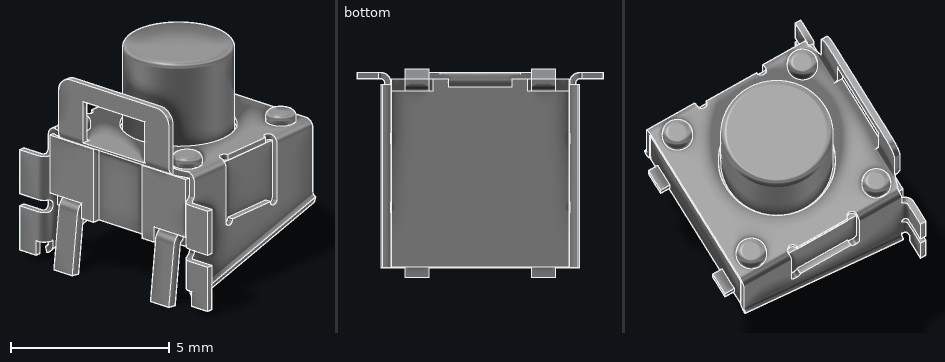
import cadquery as cq
import math


BASE_HALF_X = 2.805
BASE_HALF_Y = 2.97
BASE_HEIGHT = 2.5
RECESS_HALF_WIDTH = 1.0
RECESS_DEPTH = 0.265

SHEET = 0.2
COVER_TOP = BASE_HEIGHT + SHEET
WALL_OUTER = 3.02
WALL_INNER = WALL_OUTER - SHEET
COVER_REAR = 3.0
COVER_FRONT = -2.8
COVER_CORNER_RADIUS = 0.295
COVER_HOLE_DIAMETER = 3.7

EDGE_FRONT_Z = -1.305
EDGE_REAR_Z = 0.23
FLARE_RADIUS = 0.155
FLARE_ANGLE = math.radians(75)

WINDOW_HALF_WIDTH = 1.25
WINDOW_BOTTOM = 0.56
WINDOW_RELIEF_RADIUS = 0.16

BEND_INNER = 0.12
BEND_OUTER = BEND_INNER + SHEET
BEND_CENTER_Y = BEND_INNER - BASE_HALF_Y
SHEET_FRONT = BEND_CENTER_Y - BEND_OUTER

TAB_HALF_WIDTH = 2.285
TAB_TOP = 4.73
TAB_CORNER_RADIUS = 0.505
TAB_WINDOW_HALF_WIDTH = 1.275
TAB_WINDOW_TOP = 4.125
TAB_ROOT_HALF_WIDTH = WALL_INNER

LEG_TIP_X = 3.885
LEG_TOP = 1.77
LEG_BOTTOM = -1.66
LEG_GAP_TOP = 0.265
LEG_GAP_BOTTOM = -0.15
LEG_FOOT_X = 3.21
LEG_FOOT_TOP = -1.165
LEG_RELIEF_RADIUS = (LEG_GAP_TOP - LEG_GAP_BOTTOM) / 2

BUTTON_DIAMETER = 3.55
BUTTON_TOP = 5.51
BUTTON_FILLET = 0.2
RIVET_OFFSET = 2.29
RIVET_RADIUS = 0.48
SMALL_RIVET_RADIUS = 0.46
RIVET_HEIGHT = 0.35
RIVET_FILLET = 0.2

PIN_OFFSET = 2.0
PIN_WIDTH = 0.76
PIN_THICKNESS = 0.32
PIN_TOP = 0.52
PIN_REAR = 3.31
PIN_BOTTOM = -1.935
PIN_TIP_Y = -3.29
PIN_BEND_OUTER = 0.45
PIN_BEND_INNER = PIN_BEND_OUTER - PIN_THICKNESS
PIN_TILT = math.radians(7)
PIN_NOTCH_INNER = 1.49

SIDES = (-1, 1)


def box(x0, x1, y0, y1, z0, z1):
    """Axis-aligned block between opposite corners."""
    corner = cq.Vector(x0, y0, z0)
    return cq.Workplane(cq.Solid.makeBox(x1 - x0, y1 - y0, z1 - z0, corner))


def both_sides(shape):
    """The shape on the +X side together with its mirror image."""
    return shape.union(shape.mirror("YZ"))


def polar(center, radius, angle):
    """Point on a circle, the angle measured from the first axis."""
    return (center[0] + radius * math.cos(angle), center[1] + radius * math.sin(angle))


PIN_STRAIGHT_TOP = PIN_TOP - PIN_BEND_OUTER + PIN_BEND_OUTER * math.sin(PIN_TILT)
PIN_OUTER_TIP_Z = PIN_BOTTOM + PIN_THICKNESS * math.sin(PIN_TILT)
PIN_DRIFT = (PIN_STRAIGHT_TOP - PIN_OUTER_TIP_Z) * math.tan(PIN_TILT)
PIN_BEND_CENTER = (
    PIN_TIP_Y + PIN_DRIFT + PIN_BEND_OUTER * math.cos(PIN_TILT),
    PIN_TOP - PIN_BEND_OUTER,
)


def make_base():
    base = box(-BASE_HALF_X, BASE_HALF_X, -BASE_HALF_Y, BASE_HALF_Y, 0, BASE_HEIGHT)
    recess = box(
        -RECESS_HALF_WIDTH, RECESS_HALF_WIDTH, -BASE_HALF_Y, RECESS_DEPTH - BASE_HALF_Y, 0, BASE_HEIGHT
    )
    pin_notch = box(PIN_NOTCH_INNER, BASE_HALF_X, -BASE_HALF_Y, PIN_BEND_CENTER[0], 0, PIN_TOP)
    return base.cut(recess).cut(both_sides(pin_notch))


def make_pin():
    """Flat bar through the base, bent down at the front and tilted forward."""
    down = math.pi - PIN_TILT
    middle = (math.pi / 2 + down) / 2
    center_y, center_z = PIN_BEND_CENTER
    inner_tip_y = PIN_TIP_Y + PIN_THICKNESS * math.cos(PIN_TILT)
    profile = (
        cq.Workplane("YZ", origin=(PIN_OFFSET - PIN_WIDTH / 2, 0, 0))
        .moveTo(PIN_REAR, PIN_TOP)
        .lineTo(center_y, PIN_TOP)
        .threePointArc(
            polar(PIN_BEND_CENTER, PIN_BEND_OUTER, middle), polar(PIN_BEND_CENTER, PIN_BEND_OUTER, down)
        )
        .lineTo(PIN_TIP_Y, PIN_OUTER_TIP_Z)
        .lineTo(inner_tip_y, PIN_BOTTOM)
        .lineTo(*polar(PIN_BEND_CENTER, PIN_BEND_INNER, down))
        .threePointArc(
            polar(PIN_BEND_CENTER, PIN_BEND_INNER, middle), (center_y, center_z + PIN_BEND_INNER)
        )
        .lineTo(PIN_REAR, PIN_TOP - PIN_THICKNESS)
        .close()
    )
    return profile.extrude(PIN_WIDTH)


def make_plate():
    """Top of the cover, rounded down into the tops of both side walls."""
    skirt_bottom = COVER_TOP - COVER_CORNER_RADIUS - SHEET
    outside = box(-WALL_OUTER, WALL_OUTER, COVER_FRONT, COVER_REAR, skirt_bottom, COVER_TOP)
    outside = outside.edges("|Y and >Z").fillet(COVER_CORNER_RADIUS)
    inside = box(-WALL_INNER, WALL_INNER, COVER_FRONT, COVER_REAR, skirt_bottom, BASE_HEIGHT)
    inside = inside.edges("|Y and >Z").fillet(COVER_CORNER_RADIUS - SHEET)
    hole = cq.Workplane().circle(COVER_HOLE_DIAMETER / 2).extrude(COVER_TOP)
    flat_half = WINDOW_HALF_WIDTH - WINDOW_RELIEF_RADIUS
    flat = box(-WALL_INNER, WALL_INNER, -flat_half, flat_half, BASE_HEIGHT, COVER_TOP)
    return outside.cut(inside).union(flat).cut(hole)


def make_wall():
    """Side wall with a sloping lower edge that curls outward."""
    bend_z = COVER_TOP - COVER_CORNER_RADIUS
    wall = (
        cq.Workplane("YZ", origin=(WALL_INNER, 0, 0))
        .polyline(
            [
                (COVER_FRONT, EDGE_FRONT_Z),
                (COVER_REAR, EDGE_REAR_Z),
                (COVER_REAR, bend_z),
                (COVER_FRONT, bend_z),
            ]
        )
        .close()
        .extrude(SHEET)
    )
    center = (WALL_OUTER + FLARE_RADIUS, EDGE_FRONT_Z)
    outer_radius = FLARE_RADIUS + SHEET
    middle = math.pi + FLARE_ANGLE / 2
    end = math.pi + FLARE_ANGLE
    flare_section = (
        cq.Workplane("XZ", origin=(0, COVER_FRONT, 0))
        .moveTo(WALL_INNER, EDGE_FRONT_Z)
        .threePointArc(polar(center, outer_radius, middle), polar(center, outer_radius, end))
        .lineTo(*polar(center, FLARE_RADIUS, end))
        .threePointArc(polar(center, FLARE_RADIUS, middle), (WALL_OUTER, EDGE_FRONT_Z))
        .close()
    )
    edge_run = cq.Vector(0, COVER_REAR - COVER_FRONT, EDGE_REAR_Z - EDGE_FRONT_Z)
    flare = cq.Solid.extrudeLinear(flare_section.val(), [], edge_run)
    return wall.union(cq.Workplane(flare))


def make_window_cut():
    """Opening through a side wall and its top bend, with round relief at the four corners."""
    through_wall = box(
        BASE_HALF_X, WALL_OUTER, -WINDOW_HALF_WIDTH, WINDOW_HALF_WIDTH, WINDOW_BOTTOM, BASE_HEIGHT
    )
    through_bend = box(
        WALL_INNER, WALL_OUTER, -WINDOW_HALF_WIDTH, WINDOW_HALF_WIDTH, BASE_HEIGHT, COVER_TOP
    )
    relief_y = WINDOW_HALF_WIDTH - WINDOW_RELIEF_RADIUS
    relief_points = [(relief_y, WINDOW_BOTTOM), (-relief_y, WINDOW_BOTTOM)]
    lower_relief = (
        cq.Workplane("YZ", origin=(WALL_INNER, 0, 0))
        .pushPoints(relief_points)
        .circle(WINDOW_RELIEF_RADIUS)
        .extrude(SHEET)
    )
    upper_relief = (
        cq.Workplane(origin=(0, 0, BASE_HEIGHT))
        .pushPoints([(WALL_INNER, relief_y), (WALL_INNER, -relief_y)])
        .circle(WINDOW_RELIEF_RADIUS)
        .extrude(SHEET)
    )
    return through_wall.union(through_bend).union(lower_relief).union(upper_relief)


def make_legs():
    """Two legs bent outward from the front edge of a side wall."""
    center = (WALL_OUTER + BEND_INNER, BEND_CENTER_Y)
    middle = 1.25 * math.pi
    strip_top = LEG_TOP + LEG_RELIEF_RADIUS
    legs = (
        cq.Workplane(origin=(0, 0, LEG_BOTTOM))
        .moveTo(WALL_INNER, COVER_FRONT)
        .lineTo(WALL_INNER, BEND_CENTER_Y)
        .threePointArc(polar(center, BEND_OUTER, middle), (center[0], SHEET_FRONT))
        .lineTo(LEG_TIP_X, SHEET_FRONT)
        .lineTo(LEG_TIP_X, -BASE_HALF_Y)
        .lineTo(center[0], -BASE_HALF_Y)
        .threePointArc(polar(center, BEND_INNER, middle), (WALL_OUTER, BEND_CENTER_Y))
        .lineTo(WALL_OUTER, COVER_FRONT)
        .close()
        .extrude(strip_top - LEG_BOTTOM)
    )
    relief_y = COVER_FRONT - LEG_RELIEF_RADIUS
    gap_middle = (LEG_GAP_TOP + LEG_GAP_BOTTOM) / 2
    relief = (
        cq.Workplane("YZ")
        .pushPoints([(relief_y, strip_top), (relief_y, gap_middle)])
        .circle(LEG_RELIEF_RADIUS)
        .extrude(LEG_TIP_X)
    )
    above = box(0, LEG_TIP_X, SHEET_FRONT, relief_y, LEG_TOP, strip_top)
    gap = box(0, LEG_TIP_X, SHEET_FRONT, relief_y, LEG_GAP_BOTTOM, LEG_GAP_TOP)
    foot_notch = box(0, LEG_FOOT_X, SHEET_FRONT, COVER_FRONT, LEG_BOTTOM, LEG_FOOT_TOP)
    return legs.cut(relief).cut(above).cut(gap).cut(foot_notch)


def make_tab():
    """Windowed tab bent upward from the front edge of the plate."""
    center = (BEND_CENTER_Y, COVER_TOP + BEND_INNER)
    middle = 1.25 * math.pi
    tab = (
        cq.Workplane("YZ")
        .moveTo(COVER_FRONT, BASE_HEIGHT)
        .lineTo(BEND_CENTER_Y, BASE_HEIGHT)
        .threePointArc(polar(center, BEND_OUTER, middle), (SHEET_FRONT, center[1]))
        .lineTo(SHEET_FRONT, TAB_TOP)
        .lineTo(-BASE_HALF_Y, TAB_TOP)
        .lineTo(-BASE_HALF_Y, center[1])
        .threePointArc(polar(center, BEND_INNER, middle), (BEND_CENTER_Y, COVER_TOP))
        .lineTo(COVER_FRONT, COVER_TOP)
        .close()
        .extrude(TAB_ROOT_HALF_WIDTH, both=True)
    )
    plan = (
        cq.Workplane(origin=(0, 0, BASE_HEIGHT))
        .polyline(
            [
                (TAB_ROOT_HALF_WIDTH, COVER_FRONT),
                (TAB_HALF_WIDTH, -BASE_HALF_Y),
                (TAB_HALF_WIDTH, SHEET_FRONT),
                (-TAB_HALF_WIDTH, SHEET_FRONT),
                (-TAB_HALF_WIDTH, -BASE_HALF_Y),
                (-TAB_ROOT_HALF_WIDTH, COVER_FRONT),
            ]
        )
        .close()
        .extrude(TAB_TOP - BASE_HEIGHT)
    )
    upright = box(-TAB_HALF_WIDTH, TAB_HALF_WIDTH, SHEET_FRONT, -BASE_HALF_Y, COVER_TOP, TAB_TOP)
    corners = upright.cut(upright.edges("|Y and >Z").fillet(TAB_CORNER_RADIUS))
    window = box(
        -TAB_WINDOW_HALF_WIDTH, TAB_WINDOW_HALF_WIDTH, SHEET_FRONT, COVER_FRONT, COVER_TOP, TAB_WINDOW_TOP
    )
    return tab.intersect(plan).cut(corners).cut(window)


def make_button():
    button = cq.Workplane(origin=(0, 0, BASE_HEIGHT)).circle(BUTTON_DIAMETER / 2)
    return button.extrude(BUTTON_TOP - BASE_HEIGHT).faces(">Z").edges().fillet(BUTTON_FILLET)


def make_rivet(x, y, radius):
    rivet = cq.Workplane(origin=(x, y, COVER_TOP)).circle(radius).extrude(RIVET_HEIGHT)
    return rivet.faces(">Z").edges().fillet(RIVET_FILLET)


cover_side = make_wall().union(make_legs())
cover = make_plate().union(both_sides(cover_side)).union(make_tab())
cover = cover.cut(both_sides(make_window_cut()))

result = make_base().union(both_sides(make_pin())).union(cover).union(make_button())
for side_x in SIDES:
    for side_y in SIDES:
        is_small = side_x < 0 and side_y < 0
        rivet_radius = SMALL_RIVET_RADIUS if is_small else RIVET_RADIUS
        result = result.union(make_rivet(side_x * RIVET_OFFSET, side_y * RIVET_OFFSET, rivet_radius))